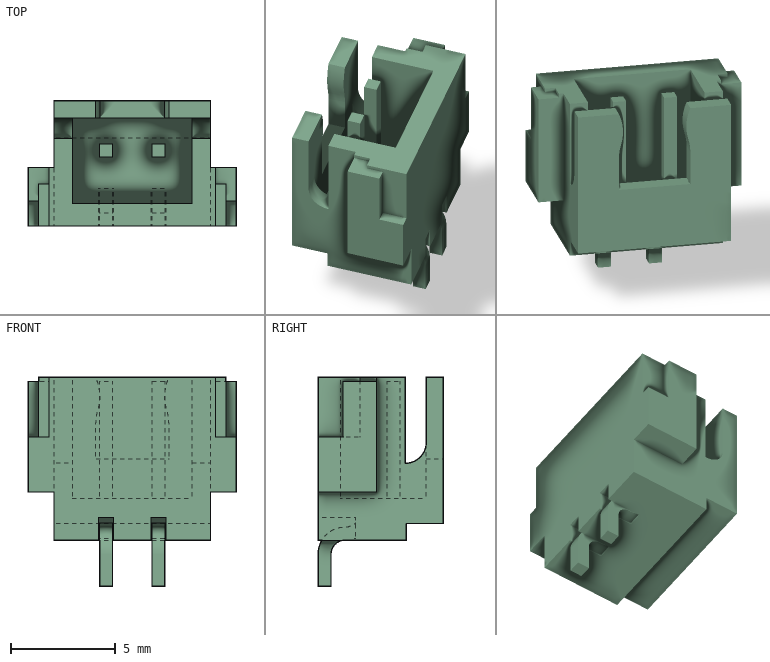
import cadquery as cq
import math


SIN_45 = math.sqrt(0.5)

DEPTH = 6.0
TOP_Z = 10.0
BOTTOM_Z = 2.2
BODY_WIDTH = 7.5
BACK_STEP_Y = 4.22
BACK_STEP_Z = 3.0

WALL_FRONT = 1.08
WALL_BACK = 0.83
CAVITY_WIDTH = 5.72
CAVITY_FLOOR_Z = 4.2
CAVITY_BACK_Y = DEPTH - WALL_BACK

SIDE_SLOT_WIDTH = 0.99
SIDE_SLOT_BOTTOM_Z = 5.89
SIDE_SLOT_FRONT_Y = CAVITY_BACK_Y - SIDE_SLOT_WIDTH

NOTCH_WIDTH = 3.5
NOTCH_BOTTOM_Z = 6.1
BULGE = 0.2
BULGE_RADIUS = 2.25

SIDES = (-1, 1)
FLANGE_SPAN = 9.95
FLANGE_DEPTH = 2.8
FLANGE_BOTTOM_Z = 4.5
FLANGE_TOP_Z = 9.8
FLANGE_STEP_DEPTH = 1.2
NAIL_THICKNESS = 0.5
NAIL_DEPTH = 2.0
NAIL_BOTTOM_Z = 7.14
NAIL_OUTER_X = FLANGE_SPAN / 2 - NAIL_THICKNESS
NAIL_INNER_X = NAIL_OUTER_X - NAIL_THICKNESS

PITCH = 2.5
CONTACT_XS = [-PITCH / 2, PITCH / 2]
CONTACT_THICKNESS = 0.63
POST_FRONT_Y = 3.3
POST_TOP_Z = 9.8
LOWER_RADIUS = 0.65
UPPER_RADIUS = 0.8
BEND_Y = CONTACT_THICKNESS + LOWER_RADIUS
LOWER_BEND_Z = BOTTOM_Z - LOWER_RADIUS
UPPER_BEND_Z = BOTTOM_Z + CONTACT_THICKNESS + UPPER_RADIUS
TAIL_SLOT_WIDTH = 0.71
TAIL_SLOT_TOP_Z = 3.29
TAIL_SLOT_DEPTH = 1.8


def box(x_range, y_range, z_range):
    """Box between the given (low, high) limits on each axis."""
    size = [high - low for low, high in (x_range, y_range, z_range)]
    corner = (x_range[0], y_range[0], z_range[0])
    return cq.Workplane("XY").box(*size, centered=False).translate(corner)


def centered(width, middle=0.0):
    """Limits of a width centred on a middle position."""
    return (middle - width / 2, middle + width / 2)


def make_nail(side):
    """Flat nail on one side of the front face (side is -1 or +1)."""
    x_range = sorted((side * NAIL_INNER_X, side * NAIL_OUTER_X))
    return box(x_range, (0, NAIL_DEPTH), (NAIL_BOTTOM_Z, TOP_Z))


def make_post(x):
    """Square contact post standing on the cavity floor."""
    y_range = (POST_FRONT_Y, POST_FRONT_Y + CONTACT_THICKNESS)
    return box(centered(CONTACT_THICKNESS, x), y_range, (CAVITY_FLOOR_Z, POST_TOP_Z))


def lower_bend(radius):
    """Middle point of a quarter arc of the lower bend."""
    return (BEND_Y - radius * SIN_45, LOWER_BEND_Z + radius * SIN_45)


def upper_bend(radius, reach):
    """Point on an arc of the upper bend, a given distance in Y behind the start of the bend."""
    return (BEND_Y + reach, UPPER_BEND_Z - math.sqrt(radius**2 - reach**2))


def make_tail(x):
    """S-shaped solder tail: a leg at the front face, then two bends up to the slot's back wall."""
    reach = TAIL_SLOT_DEPTH - BEND_Y
    upper_outer_radius = UPPER_RADIUS + CONTACT_THICKNESS
    lower_outer_radius = LOWER_RADIUS + CONTACT_THICKNESS
    return (
        cq.Workplane("YZ", origin=(x - CONTACT_THICKNESS / 2, 0, 0))
        .moveTo(0, 0)
        .lineTo(0, LOWER_BEND_Z)
        .threePointArc(lower_bend(lower_outer_radius), (BEND_Y, BOTTOM_Z + CONTACT_THICKNESS))
        .threePointArc(upper_bend(UPPER_RADIUS, reach / 2), upper_bend(UPPER_RADIUS, reach))
        .lineTo(*upper_bend(upper_outer_radius, reach))
        .threePointArc(upper_bend(upper_outer_radius, reach / 2), (BEND_Y, BOTTOM_Z))
        .threePointArc(lower_bend(LOWER_RADIUS), (CONTACT_THICKNESS, LOWER_BEND_Z))
        .lineTo(CONTACT_THICKNESS, 0)
        .close()
        .extrude(CONTACT_THICKNESS)
    )


def make_shell():
    """Body with its raised rear underside and the two stepped side flanges."""
    body = box(centered(BODY_WIDTH), (0, DEPTH), (BOTTOM_Z, TOP_Z))
    rear_step = box(centered(BODY_WIDTH), (BACK_STEP_Y, DEPTH), (BOTTOM_Z, BACK_STEP_Z))
    flanges = box(centered(FLANGE_SPAN), (0, FLANGE_DEPTH), (FLANGE_BOTTOM_Z, FLANGE_TOP_Z))
    shoulders = box(centered(2 * NAIL_INNER_X), (0, FLANGE_DEPTH), (FLANGE_BOTTOM_Z, TOP_Z))
    shell = body.cut(rear_step).union(flanges).union(shoulders)
    for side in SIDES:
        x_range = sorted((side * NAIL_OUTER_X, side * FLANGE_SPAN / 2))
        shell = shell.cut(box(x_range, (0, FLANGE_STEP_DEPTH), (NAIL_BOTTOM_Z, FLANGE_TOP_Z)))
    return shell


def make_side_slots():
    """Cutter for the slots across both side walls; a quarter round joins the floor to the back wall."""
    arc_start_z = SIDE_SLOT_BOTTOM_Z + SIDE_SLOT_WIDTH
    arc_mid = (SIDE_SLOT_FRONT_Y + SIDE_SLOT_WIDTH * SIN_45, arc_start_z - SIDE_SLOT_WIDTH * SIN_45)
    return (
        cq.Workplane("YZ", origin=(-BODY_WIDTH / 2, 0, 0))
        .moveTo(SIDE_SLOT_FRONT_Y, TOP_Z)
        .lineTo(SIDE_SLOT_FRONT_Y, SIDE_SLOT_BOTTOM_Z)
        .threePointArc(arc_mid, (CAVITY_BACK_Y, arc_start_z))
        .lineTo(CAVITY_BACK_Y, TOP_Z)
        .close()
        .extrude(BODY_WIDTH)
    )


def make_latch_notch():
    """Cutter for the back wall notch; each side swells inward, then curves back to vertical."""
    half = NOTCH_WIDTH / 2
    peak_z = TOP_Z - math.sqrt(2 * BULGE * BULGE_RADIUS - BULGE**2)
    turn_angle = math.acos(1 - BULGE / (2 * BULGE_RADIUS))
    arc_height = BULGE_RADIUS * math.sin(turn_angle)
    blend_z = peak_z - arc_height
    straight_z = blend_z - arc_height
    concave_sag = BULGE_RADIUS * (1 - math.cos(turn_angle / 2))
    concave_mid_z = straight_z + BULGE_RADIUS * math.sin(turn_angle / 2)

    peak_x = half - BULGE
    blend_x = half - BULGE / 2
    concave_mid_x = half - concave_sag
    return (
        cq.Workplane("XZ", origin=(0, DEPTH, 0))
        .moveTo(-half, NOTCH_BOTTOM_Z)
        .lineTo(half, NOTCH_BOTTOM_Z)
        .lineTo(half, straight_z)
        .threePointArc((concave_mid_x, concave_mid_z), (blend_x, blend_z))
        .threePointArc((peak_x, peak_z), (half, TOP_Z))
        .lineTo(-half, TOP_Z)
        .threePointArc((-peak_x, peak_z), (-blend_x, blend_z))
        .threePointArc((-concave_mid_x, concave_mid_z), (-half, straight_z))
        .close()
        .extrude(WALL_BACK)
    )


def make_tail_slot(x):
    """Cutter for the slot around the bends of one tail, open at the front and below."""
    z_range = (BOTTOM_Z, TAIL_SLOT_TOP_Z)
    return box(centered(TAIL_SLOT_WIDTH, x), (0, TAIL_SLOT_DEPTH), z_range)


def make_housing():
    """Housing with its cavity, slots and notch, and a recess in each front corner for a nail."""
    cavity = box(centered(CAVITY_WIDTH), (WALL_FRONT, CAVITY_BACK_Y), (CAVITY_FLOOR_Z, TOP_Z))
    housing = make_shell().cut(cavity).cut(make_side_slots()).cut(make_latch_notch())
    for x in CONTACT_XS:
        housing = housing.cut(make_tail_slot(x))
    for side in SIDES:
        housing = housing.cut(make_nail(side))
    return housing


housing = make_housing()
nails = [make_nail(side) for side in SIDES]
posts = [make_post(x) for x in CONTACT_XS]
tails = [make_tail(x) for x in CONTACT_XS]

result = cq.Compound.makeCompound([housing.val(), *[body.val() for body in nails + posts + tails]])